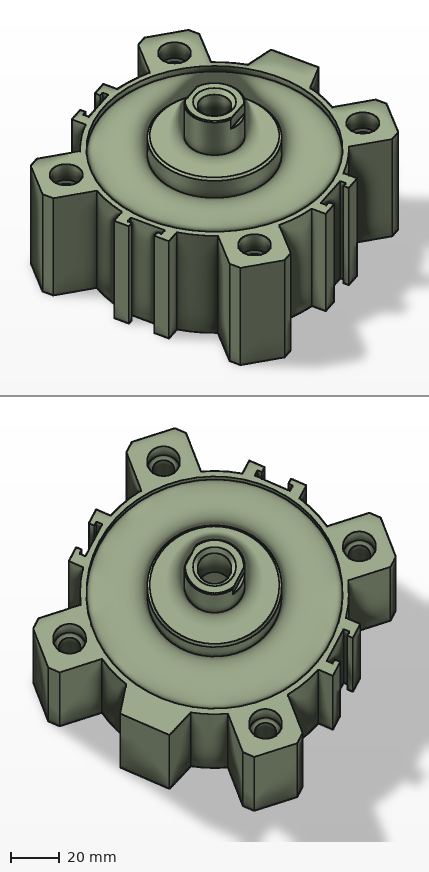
import cadquery as cq
import math

overall_length = 126.0
housing_height = 52.3
body_diameter = 110.0
frame_half = 60.0
overlap = 2.5

lug_width = 26.0
lug_reach = 75.5
lug_hole_offset = 44.5
lug_hole_diameter = 9.0
lug_counterbore_diameter = 13.5
lug_counterbore_depth = 8.6

rail_width = 26.0
slot_opening = 12.0
slot_inner_width = 16.0
slot_lip = 2.5
slot_depth = 5.2

block_reach = overall_length - frame_half
block_tip_width = 22.4
block_taper = 15.0

recess_diameter = 105.0
recess_depth = 3.0
boss_diameter = 55.0
boss_top = 59.5
boss_chamfer = 1.0

rod_diameter = 25.0
rod_top = 77.5
rod_chamfer = 0.5
rod_bottom = housing_height - recess_depth
flat_spacing = 22.0
flat_height = 5.5
bore_diameter = 13.9
bore_mouth_diameter = 17.6
bore_depth = 20.2

body_radius = body_diameter / 2


def make_lug(angle):
    """Diagonal lug, trimmed by the square frame so that its corners are cut."""
    bar = cq.Workplane("XY").box(lug_reach, lug_width, housing_height, centered=(False, True, False))
    frame = cq.Workplane("XY").rect(2 * frame_half, 2 * frame_half).extrude(housing_height)
    return bar.rotate((0, 0, 0), (0, 0, 1), angle).intersect(frame)


def make_rail(angle):
    """Rail along the full height, built on the +X side and turned into place."""
    depth = frame_half - body_radius + overlap
    return (
        cq.Workplane("XY")
        .center(frame_half - depth / 2, 0)
        .rect(depth, rail_width)
        .extrude(housing_height)
        .rotate((0, 0, 0), (0, 0, 1), angle)
    )


def make_rail_slot(angle):
    """T-slot of a rail: a narrow opening in front of a wider channel."""
    opening = (
        cq.Workplane("XY")
        .center(frame_half - slot_depth / 2, 0)
        .rect(slot_depth, slot_opening)
        .extrude(housing_height)
    )
    channel = (
        cq.Workplane("XY")
        .center(frame_half - (slot_lip + slot_depth) / 2, 0)
        .rect(slot_depth - slot_lip, slot_inner_width)
        .extrude(housing_height)
    )
    return opening.union(channel).rotate((0, 0, 0), (0, 0, 1), angle)


def make_block():
    """Block on the +Y side that narrows outward."""
    root = body_radius - overlap
    tip_half = block_tip_width / 2
    root_half = tip_half + (block_reach - root) * math.tan(math.radians(block_taper))
    return (
        cq.Workplane("XY")
        .polyline([(-root_half, root), (root_half, root), (tip_half, block_reach), (-tip_half, block_reach)])
        .close()
        .extrude(housing_height)
    )


def make_housing():
    housing = cq.Workplane("XY").circle(body_radius).extrude(housing_height).union(make_block())
    for angle in (45, 135, 225, 315):
        housing = housing.union(make_lug(angle))
    for angle in (0, 180, 270):
        housing = housing.union(make_rail(angle)).cut(make_rail_slot(angle))

    housing = (
        housing.faces(">Z")
        .workplane(origin=(0, 0, housing_height))
        .rect(2 * lug_hole_offset, 2 * lug_hole_offset, forConstruction=True)
        .vertices()
        .cboreHole(lug_hole_diameter, lug_counterbore_diameter, lug_counterbore_depth)
    )

    recess_floor = cq.Workplane("XY").workplane(offset=rod_bottom)
    housing = housing.cut(recess_floor.circle(recess_diameter / 2).extrude(recess_depth))

    boss = recess_floor.circle(boss_diameter / 2).extrude(boss_top - rod_bottom)
    boss = boss.faces(">Z").edges().chamfer(boss_chamfer)
    rod_hole = recess_floor.circle(rod_diameter / 2).extrude(boss_top - rod_bottom)
    return housing.union(boss).cut(rod_hole)


def make_rod():
    rod_base = cq.Workplane("XY").workplane(offset=rod_bottom)
    rod = rod_base.circle(rod_diameter / 2).extrude(rod_top - rod_bottom)
    rod = rod.faces(">Z").edges().chamfer(rod_chamfer)

    flat_depth = (rod_diameter - flat_spacing) / 2
    for side in (-1, 1):
        flat_cut = (
            cq.Workplane("XY")
            .workplane(offset=rod_top - flat_height)
            .center(side * (flat_spacing + flat_depth) / 2, 0)
            .rect(flat_depth, rod_diameter)
            .extrude(flat_height)
        )
        rod = rod.cut(flat_cut)

    mouth_radius = bore_mouth_diameter / 2
    bore_radius = bore_diameter / 2
    bore = (
        cq.Workplane("XZ")
        .polyline([
            (0, rod_top),
            (mouth_radius, rod_top),
            (bore_radius, rod_top - (mouth_radius - bore_radius)),
            (bore_radius, rod_top - bore_depth),
            (0, rod_top - bore_depth),
        ])
        .close()
        .revolve(360, (0, 0, 0), (0, 1, 0))
    )
    return rod.cut(bore)


housing = make_housing()
rod = make_rod()
result = cq.Compound.makeCompound([housing.val(), rod.val()])